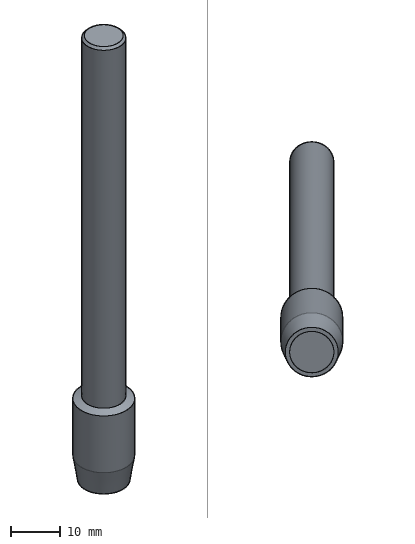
import cadquery as cq

total_height = 110.0
rod_diameter = 9.0
rod_chamfer = 0.5

collar_diameter = 12.6
collar_foot_diameter = 10.8
collar_taper_height = 5.9
collar_shoulder_height = 20.0
collar_crown_height = 0.7

rod_radius = rod_diameter / 2
collar_radius = collar_diameter / 2
collar_foot_radius = collar_foot_diameter / 2
collar_height = collar_shoulder_height + collar_crown_height


def make_rod():
    """Cylinder standing on the base plane, with a chamfered top rim."""
    return cq.Workplane("XY").circle(rod_radius).extrude(total_height).faces(">Z").chamfer(rod_chamfer)


def make_collar():
    """Revolved sleeve: tapered foot, cylindrical middle, shallow conical crown."""
    half_section = [
        (rod_radius, 0),
        (collar_foot_radius, 0),
        (collar_radius, collar_taper_height),
        (collar_radius, collar_shoulder_height),
        (rod_radius, collar_height),
    ]
    return cq.Workplane("XZ").polyline(half_section).close().revolve(360, (0, 0), (0, 1))


rod = make_rod()
collar = make_collar()

result = cq.Compound.makeCompound([rod.val(), collar.val()])